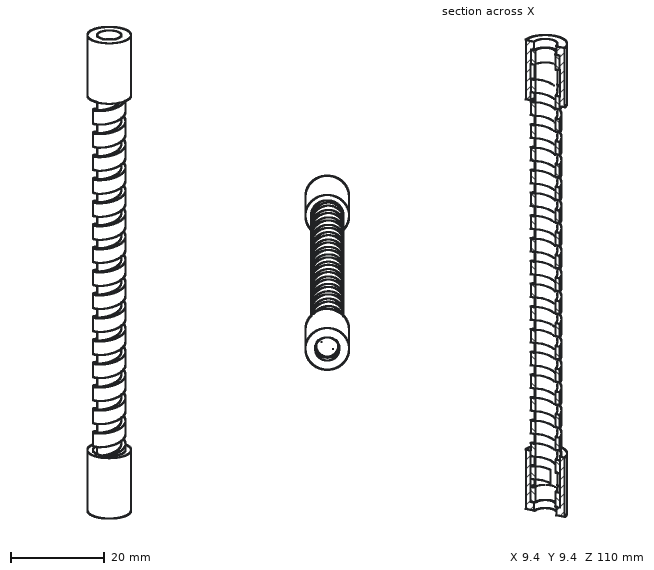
import cadquery as cq
overall_length = 110.05

sleeve_diameter = 9.4
sleeve_length = 14.0
lip_length = 2.0
lip_bore_diameter = 5.2

hose_diameter = 7.0
hose_bore_diameter = 4.7
hose_length = overall_length - 2 * lip_length
core_diameter = 5.2
end_collar_length = 3.5

ridge_pitch = 16 / 3
groove_width = 2.2
ridge_width = ridge_pitch - groove_width
ridge_turns = 17.75
ridge_start_height = 7.53
ridge_embed = 0.1


def make_sleeve():
    """Sleeve with its lip at Z = 0 and its hose socket opening upward."""
    sleeve = cq.Workplane("XY").circle(sleeve_diameter / 2).extrude(sleeve_length)
    sleeve = sleeve.cut(cq.Workplane("XY").circle(lip_bore_diameter / 2).extrude(lip_length))
    socket = (
        cq.Workplane("XY")
        .workplane(offset=lip_length)
        .circle(hose_diameter / 2)
        .extrude(sleeve_length - lip_length)
    )
    return sleeve.cut(socket)


def make_ridge():
    """Rectangular profile swept along a helix around the core."""
    inner_radius = core_diameter / 2 - ridge_embed
    outer_radius = hose_diameter / 2
    path = cq.Wire.makeHelix(
        ridge_pitch,
        ridge_pitch * ridge_turns,
        core_diameter / 2,
        center=cq.Vector(0, 0, ridge_start_height),
    )
    return (
        cq.Workplane("XZ")
        .center((inner_radius + outer_radius) / 2, ridge_start_height)
        .rect(outer_radius - inner_radius, ridge_width)
        .sweep(cq.Workplane(obj=path), isFrenet=True)
    )


def make_hose():
    """Ridged tube with a plain collar at each end, seated against both sleeve lips."""
    core = cq.Workplane("XY").circle(core_diameter / 2).extrude(hose_length)
    collar = cq.Workplane("XY").circle(hose_diameter / 2).extrude(end_collar_length)
    far_collar = collar.translate((0, 0, hose_length - end_collar_length))
    bore = cq.Workplane("XY").circle(hose_bore_diameter / 2).extrude(hose_length)
    tube = core.union(collar).union(far_collar).cut(bore)
    return tube.translate((0, 0, lip_length)).union(make_ridge())


bottom_sleeve = make_sleeve()
top_sleeve = make_sleeve().mirror("XY").translate((0, 0, overall_length))
hose = make_hose()

result = cq.Compound.makeCompound([bottom_sleeve.val(), hose.solids().val(), top_sleeve.val()])